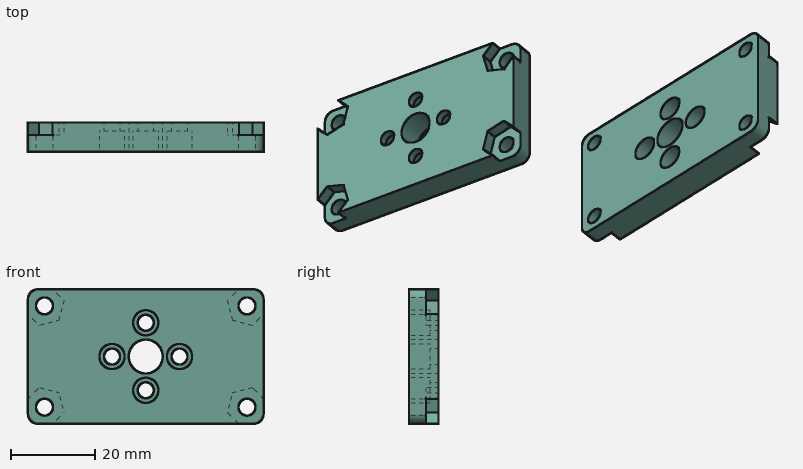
import cadquery as cq
import math

length = 56
height = 32.0
thickness = 7.0
corner_radius = 2.45

screw_diameter = 4.0
screw_inset = 4.0
nut_across_flats = 8.35
nut_depth = 3.0
nut_vertex_angle = 45

bore_diameter = 8.0
ring_radius = 8.0
ring_hole_diameter = 3.75
counterbore_diameter = 6.0
counterbore_depth = 5.0

corner_points = [
    (side_x * (length / 2 - screw_inset), side_z * (height / 2 - screw_inset))
    for side_x in (-1, 1)
    for side_z in (-1, 1)
]
ring_points = [(-ring_radius, 0), (ring_radius, 0), (0, -ring_radius), (0, ring_radius)]


def plane_at(depth):
    """XZ workplane at a depth behind the front face; extruding goes toward the back."""
    return cq.Workplane(cq.Plane(origin=(0, depth, 0), xDir=(-1, 0, 0), normal=(0, 1, 0)))


def cylinders(points, diameter, depth):
    return plane_at(0).pushPoints(points).circle(diameter / 2).extrude(depth)


def nut_pocket(x, z):
    """Hexagonal pocket, also cleared out to the plate corner so no sliver is left."""
    floor = plane_at(thickness - nut_depth)
    across_corners = nut_across_flats / math.cos(math.pi / 6)
    hexagon = floor.polygon(6, across_corners).extrude(nut_depth)
    hexagon = hexagon.rotate((0, 0, 0), (0, 1, 0), -nut_vertex_angle * math.copysign(1, x * z))
    hexagon = hexagon.translate((x, 0, z))
    corner_x = math.copysign(length / 2, x)
    corner_z = math.copysign(height / 2, z)
    clearance = (
        floor.center(-(x + corner_x) / 2, (z + corner_z) / 2)
        .rect(screw_inset, screw_inset)
        .extrude(nut_depth)
    )
    return hexagon.union(clearance)


result = plane_at(0).rect(length, height).extrude(thickness).edges("|Y").fillet(corner_radius)

result = result.cut(cylinders(corner_points, screw_diameter, thickness))
for x, z in corner_points:
    result = result.cut(nut_pocket(x, z))

result = result.cut(cylinders([(0, 0)], bore_diameter, thickness))
result = result.cut(cylinders(ring_points, ring_hole_diameter, thickness))
result = result.cut(cylinders(ring_points, counterbore_diameter, counterbore_depth))